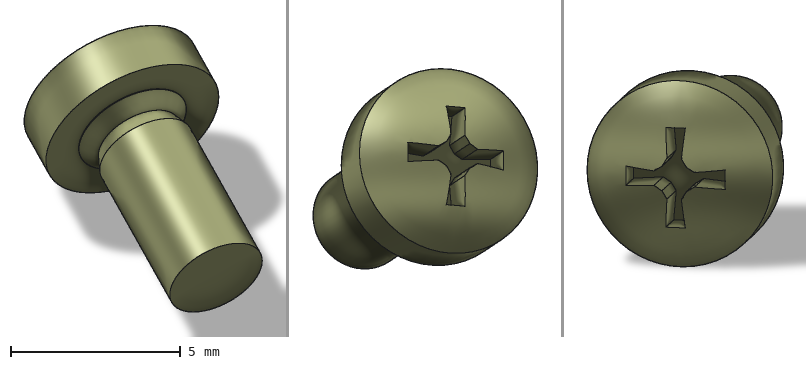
import cadquery as cq

total_length = 8.37
dome_edge_x = 0.83
head_back_x = 2.39
collar_end_x = 2.42
neck_x = 2.86
shank_start_x = 3.365

head_radius = 2.8
collar_radius = 1.74
neck_radius = 1.31
shank_radius = 1.5

arm_length = 1.5
arm_tip_half_width = 0.29
arm_root_half_width = 0.22
arm_root_distance = 0.61
corner_offset = 0.37
recess_depth = 1.34

corner_radius = corner_offset * 2**0.5
sphere_center_x = (dome_edge_x**2 + head_radius**2 - corner_radius**2) / (2 * dome_edge_x)
sphere_radius = (sphere_center_x**2 + corner_radius**2) ** 0.5
apex_x = sphere_center_x - sphere_radius


def screw_body():
    """Domed head, thin collar, tapered neck and plain shank, revolved about X."""
    return (
        cq.Workplane("XY")
        .moveTo(apex_x, 0)
        .threePointArc((0, corner_radius), (dome_edge_x, head_radius))
        .lineTo(head_back_x, head_radius)
        .lineTo(head_back_x, collar_radius)
        .lineTo(collar_end_x, collar_radius)
        .lineTo(neck_x, neck_radius)
        .lineTo(shank_start_x, shank_radius)
        .lineTo(total_length, shank_radius)
        .lineTo(total_length, 0)
        .close()
        .revolve(360, (0, 0, 0), (1, 0, 0))
    )


def cross_recess():
    """Four flared arms with bevelled inner corners, sunk straight into the dome."""
    arm = [
        (arm_root_distance, -arm_root_half_width),
        (arm_length, -arm_tip_half_width),
        (arm_length, arm_tip_half_width),
        (arm_root_distance, arm_root_half_width),
        (corner_offset, corner_offset),
    ]
    outline = []
    for _ in range(4):
        outline += arm
        arm = [(-z, y) for y, z in arm]
    return (
        cq.Workplane("YZ", origin=(apex_x, 0, 0))
        .polyline(outline)
        .close()
        .extrude(recess_depth - apex_x)
    )


result = screw_body().cut(cross_recess())